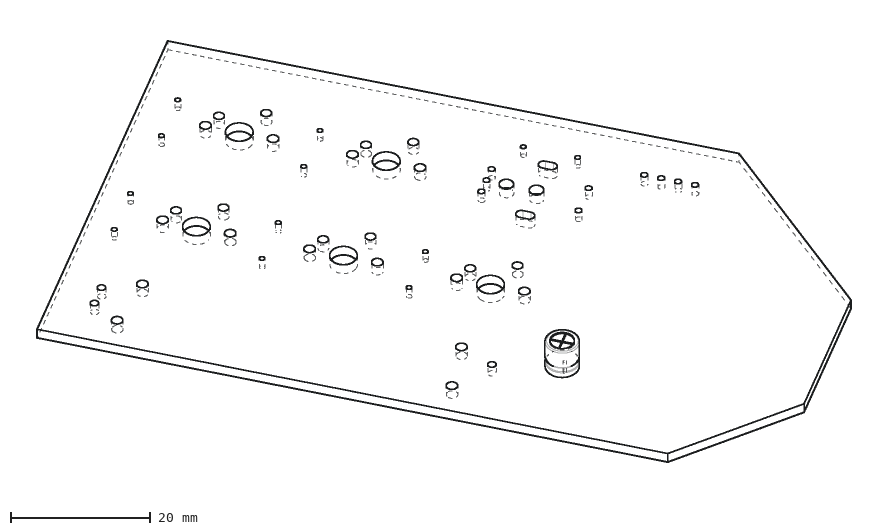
import cadquery as cq

BOARD_LENGTH = 110.0
BOARD_WIDTH = 65.5
BOARD_THICKNESS = 1.6
OVERALL_HEIGHT = 7.0

UPPER_CUT_X, UPPER_CUT_Y = 24.5, 26.0
LOWER_CUT_X, LOWER_CUT_Y = 15.6, 16.0

KEY_PITCH_X = 22.0
KEY_PITCH_Y = 21.5
FIRST_KEY_X, FIRST_KEY_Y = 15.5, 27.9
KEY_POSITIONS = [
    (FIRST_KEY_X + column * KEY_PITCH_X, FIRST_KEY_Y + row * KEY_PITCH_Y)
    for column, row in [(0, 0), (1, 0), (2, 0), (0, 1), (1, 1)]
]
GRID = 2.5
KEY_POST_DIAMETER = 4.0
KEY_PEG_DIAMETER = 1.6
KEY_PIN_DIAMETER = 1.5
KEY_PEG_OFFSETS = [(-2 * GRID, 0), (2 * GRID, 0)]
KEY_PIN_OFFSETS = [(-1.5 * GRID, GRID), (GRID, 2 * GRID)]

DIODE_HOLE_DIAMETER = 0.8
DIODE_SPAN = 8.1
VERTICAL_DIODES = [(4.4, 24.0), (26.5, 24.0), (48.5, 24.0), (5.1, 45.4), (26.5, 44.9)]
HORIZONTAL_DIODE = (55.4, 58.0)

ENCODER_X, ENCODER_Y = 60.0, 49.5
ENCODER_PIN_DIAMETER = 1.0
ENCODER_CONTACT_X = 52.5
ENCODER_SWITCH_X = 67.0
ENCODER_SLOT_LENGTH = 2.8
ENCODER_SLOT_WIDTH = 1.5
ENCODER_SLOT_OFFSET = 5.6
ENCODER_POST_DIAMETER = 2.1
ENCODER_POST_SPACING = 4.5

HEADER_X, HEADER_Y = 73.8, 57.1
HEADER_PITCH = GRID
HEADER_PIN_COUNT = 4
HEADER_HOLE_DIAMETER = 1.0

SOCKET_PEG_DIAMETER = 1.6
SOCKET_PEGS = [(11.7, 13.8), (10.5, 5.2), (59.4, 13.8), (60.5, 5.3)]
SOCKET_PIN_DIAMETER = 1.2
SOCKET_PINS = [(6.3, 11.3), (6.3, 7.8), (64.7, 11.3)]

CAPACITOR_X, CAPACITOR_Y = 74.5, 13.8
CAPACITOR_DIAMETER = 5.0
LEAD_DIAMETER = 0.5
LEAD_OFFSET_Y = 1.2
LEAD_PROTRUSION = 0.4
CAPACITOR_HEIGHT = OVERALL_HEIGHT - BOARD_THICKNESS - LEAD_PROTRUSION
LEAD_X = CAPACITOR_X
LEAD_Y = CAPACITOR_Y + LEAD_OFFSET_Y
CAN_EDGE_RADIUS = 0.2
BELT_CENTER_HEIGHT = 1.5
BELT_WIDTH = 0.8
BELT_DEPTH = 0.2
BELT_RIM_RADIUS = 0.2
TOP_RECESS_DIAMETER = 3.5
TOP_RECESS_DEPTH = 0.2
VENT_GROOVE_WIDTH = 0.1
VENT_GROOVE_DEPTH = 0.1


def shifted(center, offsets):
    """Points at the given offsets from a center."""
    return [(center[0] + dx, center[1] + dy) for dx, dy in offsets]


def drill(board, points, diameter):
    """Cut round through holes at the given points."""
    cutter = cq.Workplane("XY").pushPoints(points).circle(diameter / 2).extrude(BOARD_THICKNESS)
    return board.cut(cutter)


def board_blank():
    """Plate with its two +X corners cut off, lower face at Z = 0."""
    outline = [
        (0, 0),
        (BOARD_LENGTH - LOWER_CUT_X, 0),
        (BOARD_LENGTH, LOWER_CUT_Y),
        (BOARD_LENGTH, BOARD_WIDTH - UPPER_CUT_Y),
        (BOARD_LENGTH - UPPER_CUT_X, BOARD_WIDTH),
        (0, BOARD_WIDTH),
    ]
    return cq.Workplane("XY").polyline(outline).close().extrude(BOARD_THICKNESS)


def drill_key(board, center):
    """Post, peg and pin holes of one key switch."""
    board = drill(board, [center], KEY_POST_DIAMETER)
    board = drill(board, shifted(center, KEY_PEG_OFFSETS), KEY_PEG_DIAMETER)
    return drill(board, shifted(center, KEY_PIN_OFFSETS), KEY_PIN_DIAMETER)


def drill_diodes(board):
    """Hole pairs of the diodes, five along Y and one along X."""
    points = []
    for x, y in VERTICAL_DIODES:
        points += [(x, y), (x, y + DIODE_SPAN)]
    x, y = HORIZONTAL_DIODE
    points += [(x, y), (x + DIODE_SPAN, y)]
    return drill(board, points, DIODE_HOLE_DIAMETER)


def drill_encoder(board):
    """Pin holes, post holes and mounting slots of the rotary encoder."""
    contacts = [(ENCODER_CONTACT_X, ENCODER_Y + step * GRID) for step in (-1, 0, 1)]
    switch_pins = [(ENCODER_SWITCH_X, ENCODER_Y + step * GRID) for step in (-1, 1)]
    board = drill(board, contacts + switch_pins, ENCODER_PIN_DIAMETER)
    posts = [(ENCODER_X, ENCODER_Y), (ENCODER_X - ENCODER_POST_SPACING, ENCODER_Y)]
    board = drill(board, posts, ENCODER_POST_DIAMETER)
    slots = (
        cq.Workplane("XY")
        .pushPoints([(ENCODER_X, ENCODER_Y + side * ENCODER_SLOT_OFFSET) for side in (-1, 1)])
        .slot2D(ENCODER_SLOT_LENGTH, ENCODER_SLOT_WIDTH)
        .extrude(BOARD_THICKNESS)
    )
    return board.cut(slots)


def make_board():
    """Board with all its holes, including the one for the capacitor lead."""
    board = board_blank()
    for center in KEY_POSITIONS:
        board = drill_key(board, center)
    board = drill_diodes(board)
    board = drill_encoder(board)
    header = [(HEADER_X + pin * HEADER_PITCH, HEADER_Y) for pin in range(HEADER_PIN_COUNT)]
    board = drill(board, header, HEADER_HOLE_DIAMETER)
    board = drill(board, SOCKET_PEGS, SOCKET_PEG_DIAMETER)
    board = drill(board, SOCKET_PINS, SOCKET_PIN_DIAMETER)
    return drill(board, [(LEAD_X, LEAD_Y)], LEAD_DIAMETER)


def capacitor_can():
    """Upright can with rounded rims and a rounded belt groove near its foot."""
    radius = CAPACITOR_DIAMETER / 2
    belt_bottom = BELT_CENTER_HEIGHT - BELT_WIDTH / 2
    belt_top = BELT_CENTER_HEIGHT + BELT_WIDTH / 2
    profile = (
        cq.Workplane("XZ")
        .lineTo(radius, 0)
        .lineTo(radius, belt_bottom)
        .threePointArc((radius - BELT_DEPTH, BELT_CENTER_HEIGHT), (radius, belt_top))
        .lineTo(radius, CAPACITOR_HEIGHT)
        .lineTo(0, CAPACITOR_HEIGHT)
        .close()
    )
    can = profile.revolve(360, (0, 0, 0), (0, 1, 0))
    can = can.faces("<Z or >Z").edges().fillet(CAN_EDGE_RADIUS)
    belt_rims = cq.selectors.BoxSelector(
        (-radius, -radius, belt_bottom - BELT_RIM_RADIUS),
        (radius, radius, belt_top + BELT_RIM_RADIUS),
    )
    return can.faces("%TORUS").faces(belt_rims).edges("%CIRCLE").fillet(BELT_RIM_RADIUS)


def cut_vent(can):
    """Round recess in the can top with a cross of vent grooves in its floor."""
    floor = CAPACITOR_HEIGHT - TOP_RECESS_DEPTH
    recess = cq.Workplane("XY", origin=(0, 0, floor)).circle(TOP_RECESS_DIAMETER / 2).extrude(TOP_RECESS_DEPTH)
    can = can.cut(recess)
    grooves = cq.Workplane("XY", origin=(0, 0, floor))
    for length, width in [
        (TOP_RECESS_DIAMETER, VENT_GROOVE_WIDTH),
        (VENT_GROOVE_WIDTH, TOP_RECESS_DIAMETER),
    ]:
        can = can.cut(grooves.rect(length, width).extrude(-VENT_GROOVE_DEPTH))
    return can


def make_capacitor():
    """Capacitor standing on the board with its lead passing through it."""
    can = cut_vent(capacitor_can()).translate((CAPACITOR_X, CAPACITOR_Y, BOARD_THICKNESS))
    lead = (
        cq.Workplane("XY", origin=(LEAD_X, LEAD_Y, -LEAD_PROTRUSION))
        .circle(LEAD_DIAMETER / 2)
        .extrude(LEAD_PROTRUSION + BOARD_THICKNESS)
    )
    return can.union(lead)


board = make_board()
capacitor = make_capacitor()

result = cq.Compound.makeCompound([board.val(), capacitor.val()])